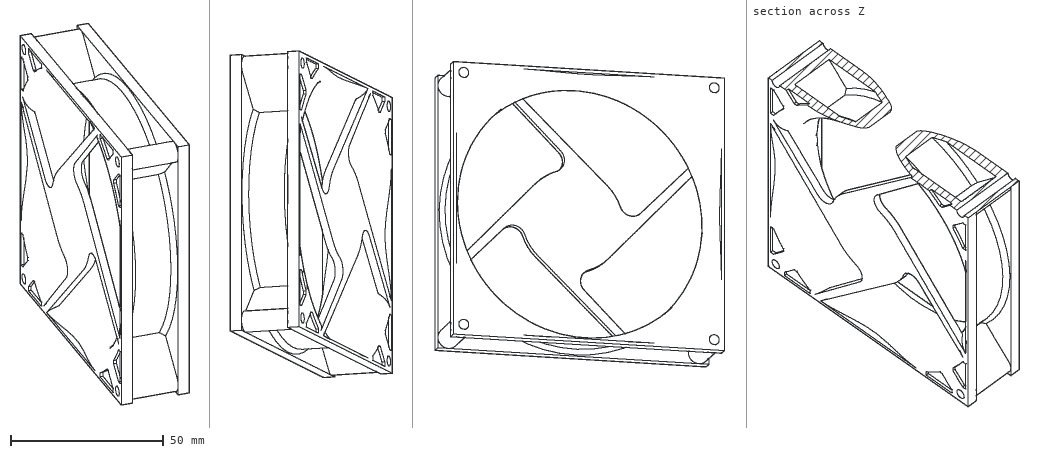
import cadquery as cq
import math

frame_size = 92.0
frame_depth = 24.0
half_size = frame_size / 2
half_depth = frame_depth / 2
flange_thickness = 4.0
flange_inner_y = half_depth - flange_thickness
rim_width = 1.1
opening_half_size = half_size - rim_width

bore_radius = 43.0
duct_wall = 1.1
duct_radius = bore_radius + duct_wall
collar_depth = 1.8
collar_flare = 1.5
bell_radius = 7.0
mouth_radius = bore_radius + bell_radius

screw_offset = 42.5
screw_diameter = 3.33
post_radius = half_size - screw_offset
wide_web = 2 * post_radius
narrow_web = 4.4

pocket_depth = 1.0
pocket_mouth_gap = 1.0
pocket_outer_end = 38.5
pocket_inner_end = 26.7
pocket_floor = 39.0

spider_thickness = 2.7
hub_radius = 17.2
arm_inner_offset = 13.6
arm_rim_offset = 16.3
arm_rim_along = 47.0
arm_overrun = 12.0
arm_root_fillet = 4.2


def turn(shape, quarter):
    """Turn a shape by quarter turns about the fan axis."""
    return shape.rotate((0, 0, 0), (0, 1, 0), 90 * quarter)


def revolve_about_axis(profile):
    """Revolve a closed radius / Y profile about the fan axis."""
    return profile.close().revolve(360, (0, 0, 0), (0, 1, 0))


def square_prism(half_width, depth, center_y):
    """Square block centred on the fan axis."""
    return cq.Workplane("XY").box(2 * half_width, depth, 2 * half_width).translate((0, center_y, 0))


def cylinder(radius, y_start, y_end):
    """Solid cylinder on the fan axis."""
    return cq.Workplane("XZ", origin=(0, y_start, 0)).circle(radius).extrude(y_start - y_end)


def make_flanges():
    center_y = half_depth - flange_thickness / 2
    front = square_prism(half_size, flange_thickness, -center_y)
    return front.union(square_prism(half_size, flange_thickness, center_y))


def make_duct():
    """Solid duct drum, flared where it meets each flange."""
    collar_y = flange_inner_y - collar_depth
    collar_radius = duct_radius + collar_flare
    return revolve_about_axis(
        cq.Workplane("XY")
        .moveTo(0, -flange_inner_y)
        .lineTo(collar_radius, -flange_inner_y)
        .lineTo(duct_radius, -collar_y)
        .lineTo(duct_radius, collar_y)
        .lineTo(collar_radius, flange_inner_y)
        .lineTo(0, flange_inner_y)
    )


def make_posts():
    """Round corner posts, each joined to the duct by a web along the diagonal."""
    span = 2 * flange_inner_y
    web_length = screw_offset * math.sqrt(2)
    posts = None
    for quarter, web_width in enumerate((wide_web, narrow_web, wide_web, narrow_web)):
        post = (
            cq.Workplane("XZ", origin=(0, flange_inner_y, 0))
            .center(-screw_offset, screw_offset)
            .circle(post_radius)
            .extrude(span)
        )
        web = (
            cq.Workplane("XY")
            .box(web_length, span, web_width)
            .translate((-web_length / 2, 0, 0))
            .rotate((0, 0, 0), (0, 1, 0), 45)
        )
        corner = turn(post.union(web), quarter)
        posts = corner if posts is None else posts.union(corner)
    return posts


def make_bore():
    """Bore with a bell mouth at both ends, trimmed square inside the frame rim."""
    throat_y = half_depth - bell_radius
    arc_shift = bell_radius * math.sqrt(0.5)
    arc_mid_radius = mouth_radius - arc_shift
    bore = revolve_about_axis(
        cq.Workplane("XY")
        .moveTo(0, -half_depth)
        .lineTo(mouth_radius, -half_depth)
        .threePointArc((arc_mid_radius, -throat_y - arc_shift), (bore_radius, -throat_y))
        .lineTo(bore_radius, throat_y)
        .threePointArc((arc_mid_radius, throat_y + arc_shift), (mouth_radius, half_depth))
        .lineTo(0, half_depth)
    )
    return bore.intersect(square_prism(opening_half_size, frame_depth, 0))


def make_pocket_pair():
    """The two pockets beside the upper left corner post, mirrored about its diagonal."""
    rib_shift = post_radius * math.sqrt(2)
    pocket = (
        cq.Workplane("XZ", origin=(0, pocket_depth - half_depth, 0))
        .moveTo(-pocket_outer_end, opening_half_size)
        .lineTo(-pocket_outer_end, pocket_outer_end + rib_shift)
        .lineTo(rib_shift - pocket_floor, pocket_floor)
        .lineTo(-pocket_inner_end, pocket_floor)
        .lineTo(-pocket_inner_end, opening_half_size)
        .close()
        .extrude(pocket_depth)
        .cut(cylinder(mouth_radius + pocket_mouth_gap, -half_depth, half_depth))
    )
    return pocket.union(turn(pocket.mirror("YZ"), -1))


def make_arm():
    """Upper left arm: tangent to the hub below, root fillet against the hub above."""
    def place(along, out):
        return ((-along - out) * math.sqrt(0.5), (along - out) * math.sqrt(0.5))

    rim_distance = math.hypot(arm_rim_along, arm_rim_offset)
    tangent_angle = math.atan2(arm_rim_offset, arm_rim_along) + math.acos(hub_radius / rim_distance)
    tangent = (hub_radius * math.cos(tangent_angle), hub_radius * math.sin(tangent_angle))
    overrun_ratio = arm_overrun / (arm_rim_along - tangent[0])
    arm_tip = (arm_rim_along + arm_overrun, arm_rim_offset + overrun_ratio * (arm_rim_offset - tangent[1]))

    center_out = arm_inner_offset - arm_root_fillet
    center_distance = hub_radius + arm_root_fillet
    center_along = math.sqrt(center_distance**2 - center_out**2)
    hub_touch = (center_along * hub_radius / center_distance, center_out * hub_radius / center_distance)
    mid_angle = (math.pi / 2 + math.atan2(center_out, center_along) + math.pi) / 2
    fillet_mid = (
        center_along + arm_root_fillet * math.cos(mid_angle),
        center_out + arm_root_fillet * math.sin(mid_angle),
    )

    return (
        cq.Workplane("XZ", origin=(0, spider_thickness - half_depth, 0))
        .moveTo(*place(*tangent))
        .lineTo(*place(*arm_tip))
        .lineTo(*place(arm_tip[0], arm_inner_offset))
        .lineTo(*place(center_along, arm_inner_offset))
        .threePointArc(place(*fillet_mid), place(*hub_touch))
        .lineTo(0, 0)
        .close()
        .extrude(spider_thickness)
    )


def make_spider():
    spider = cylinder(hub_radius, -half_depth, spider_thickness - half_depth)
    arm = make_arm()
    for quarter in range(4):
        spider = spider.union(turn(arm, quarter))
    return spider.intersect(square_prism(half_size, frame_depth, 0))


frame = make_flanges().union(make_duct()).union(make_posts()).cut(make_bore())
frame = frame.union(make_spider())

screw_hole = (
    cq.Workplane("XZ", origin=(0, half_depth, 0))
    .center(-screw_offset, screw_offset)
    .circle(screw_diameter / 2)
    .extrude(frame_depth)
)
pocket_pair = make_pocket_pair()
for quarter in range(4):
    frame = frame.cut(turn(screw_hole, quarter)).cut(turn(pocket_pair, quarter))

result = frame